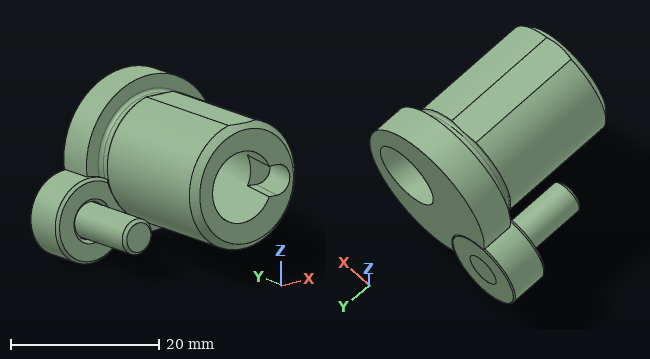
import cadquery as cq
import math


bushing_length = 26.0
flange_radius = 11.0
flange_length = 5.0
shank_radius = 9.0
shank_chamfer = 1.0
neck_width = 2.0
neck_depth = 0.5
flat_height = 8.7

bore_radius = 5.0
bore_angle = 10.0
bore_pivot_depth = 4.17
keyway_radius = 2.15
keyway_offset = 5.83
keyway_depth = 7.0

pin_radius = 2.5
pin_length = 16.22
pin_chamfer = 0.45

collar_radius = 6.0
collar_length = 6.0
collar_x = -10.78
collar_z = -7.47
collar_front_chamfer = 0.42
collar_rear_chamfer = 0.2
collar_bore_radius = 2.65
collar_bore_chamfer = 0.47
pin_seat_length = collar_length / 2


def cylinder(radius, length, x=0, z=0):
    """Cylinder from the rear plane toward -Y."""
    return cq.Workplane("XZ").center(x, z).circle(radius).extrude(length)


def bushing_blank():
    """Revolve the flange, the round-cornered neck and the chamfered shank."""
    neck_radius = shank_radius - neck_depth
    neck_end = flange_length + neck_width
    arc_inset = neck_depth * (1 - math.sqrt(0.5))
    arc_radius = neck_radius + arc_inset
    return (
        cq.Workplane("XY")
        .lineTo(flange_radius, 0)
        .lineTo(flange_radius, -flange_length)
        .lineTo(shank_radius, -flange_length)
        .threePointArc(
            (arc_radius, -flange_length - arc_inset),
            (neck_radius, -flange_length - neck_depth),
        )
        .lineTo(neck_radius, -neck_end + neck_depth)
        .threePointArc((arc_radius, -neck_end + arc_inset), (shank_radius, -neck_end))
        .lineTo(shank_radius, -bushing_length + shank_chamfer)
        .lineTo(shank_radius - shank_chamfer, -bushing_length)
        .lineTo(0, -bushing_length)
        .close()
        .revolve(360, (0, 0, 0), (0, 1, 0))
    )


def shank_flat():
    """Material above the flat along the top of the shank."""
    flat_start = flange_length + neck_width / 2
    return cq.Workplane("XY").box(
        2 * shank_radius,
        bushing_length - flat_start,
        shank_radius,
        centered=(True, False, False),
    ).translate((0, -bushing_length, flat_height))


def inclined_bore():
    """Through bore with a blind round-bottomed keyway, tilted about Z."""
    overrun = bore_radius
    pivot_y = bore_pivot_depth - bushing_length
    front_y = -bushing_length - overrun
    bore = cylinder(bore_radius, bushing_length + 2 * overrun).translate((0, overrun, 0))
    keyway = (
        cq.Workplane("XZ", origin=(0, keyway_depth - bushing_length, 0))
        .center(keyway_offset / 2, 0)
        .slot2D(keyway_offset + 2 * keyway_radius, 2 * keyway_radius)
        .extrude(keyway_depth - bushing_length - front_y)
    )
    return bore.union(keyway).rotate((0, pivot_y, 0), (0, pivot_y, 1), -bore_angle)


def make_bushing():
    collar_notch = cylinder(collar_radius, collar_length, collar_x, collar_z)
    return bushing_blank().cut(shank_flat()).cut(inclined_bore()).cut(collar_notch)


def make_collar():
    ring = cylinder(collar_radius, collar_length, collar_x, collar_z)
    ring = ring.faces("<Y").chamfer(collar_front_chamfer)
    ring = ring.faces(">Y").chamfer(collar_rear_chamfer)
    seat = cylinder(pin_radius, pin_seat_length, collar_x, collar_z)
    clearance = cylinder(
        collar_bore_radius, collar_length - pin_seat_length, collar_x, collar_z
    ).translate((0, -pin_seat_length, 0))
    ring = ring.cut(seat).cut(clearance)
    bore_rim = cq.selectors.RadiusNthSelector(0)
    return ring.faces("<Y").edges(bore_rim).chamfer(collar_bore_chamfer)


def make_pin():
    pin = cylinder(pin_radius, pin_length, collar_x, collar_z)
    return pin.faces("<Y").chamfer(pin_chamfer)


bushing = make_bushing()
collar = make_collar()
pin = make_pin()
result = cq.Compound.makeCompound([bushing.solids().val(), collar.solids().val(), pin.solids().val()])